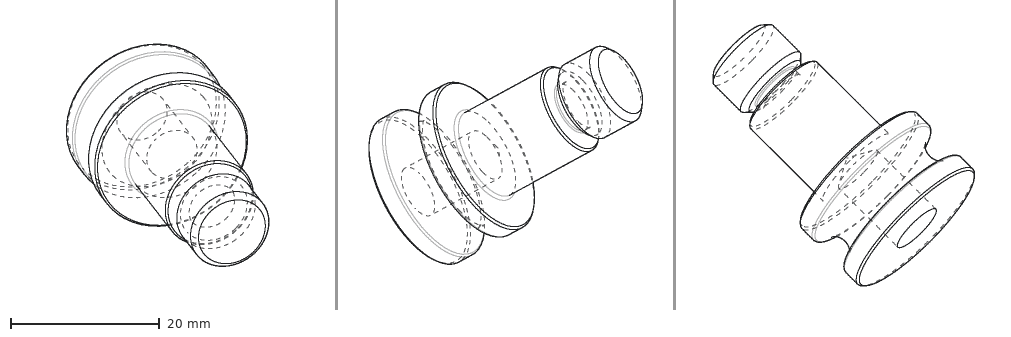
import cadquery as cq
import math

total_length = 34.8
flange_width = 11.55
shank_end = 26.35
head_start = 27.8

flange_radius = 21.95 / 2
shank_radius = 6.35
neck_radius = 3.48
head_radius = 5.65

edge_chamfer = 0.3
head_chamfer = 0.85
shank_root_fillet = 0.42
neck_fillet = 0.2

groove_radius = 2.9
groove_edge_fillet = 0.3

hole_radius = 3.62
hole_depth = 11.55
drill_point_angle = 118.0


def cylinder(start, end, radius):
    """Cylinder about the X axis between two axial positions."""
    return cq.Workplane("YZ", origin=(start, 0, 0)).circle(radius).extrude(end - start)


def make_flange():
    """Flange with chamfered outer edges and a round groove with rounded lips."""
    flange = cylinder(0, flange_width, flange_radius).edges().chamfer(edge_chamfer)
    middle = flange_width / 2
    lip_centre_distance = groove_radius + groove_edge_fillet
    lip_angle = math.asin(groove_edge_fillet / lip_centre_distance)
    lip_offset = lip_centre_distance * math.cos(lip_angle)
    lip_centre_radius = flange_radius - groove_edge_fillet
    wall_offset = groove_radius * math.cos(lip_angle)
    wall_radius = flange_radius - groove_radius * math.sin(lip_angle)
    mid_angle = (math.pi / 2 + lip_angle) / 2
    lip_mid_offset = lip_offset - groove_edge_fillet * math.sin(mid_angle)
    lip_mid_radius = lip_centre_radius + groove_edge_fillet * math.cos(mid_angle)
    groove = (
        cq.Workplane("XY")
        .moveTo(middle - lip_offset, flange_radius)
        .threePointArc((middle - lip_mid_offset, lip_mid_radius), (middle - wall_offset, wall_radius))
        .threePointArc((middle, flange_radius - groove_radius), (middle + wall_offset, wall_radius))
        .threePointArc((middle + lip_mid_offset, lip_mid_radius), (middle + lip_offset, flange_radius))
        .close()
        .revolve(360, (0, 0, 0), (1, 0, 0))
    )
    return flange.cut(groove)


def root_fillet(face_position, direction, radius, fillet):
    """Concave ring joining a shaft to a shoulder; direction points away from the shoulder."""
    tip = face_position + direction * fillet
    inset = fillet * (1 - math.sqrt(0.5))
    return (
        cq.Workplane("XY")
        .moveTo(face_position, 0)
        .lineTo(face_position, radius + fillet)
        .threePointArc((face_position + direction * inset, radius + inset), (tip, radius))
        .lineTo(tip, 0)
        .close()
        .revolve(360, (0, 0, 0), (1, 0, 0))
    )


def make_hole():
    """Drilled hole with a conical bottom."""
    point_length = hole_radius / math.tan(math.radians(drill_point_angle / 2))
    return (
        cq.Workplane("XY")
        .polyline([(0, 0), (0, hole_radius), (hole_depth, hole_radius), (hole_depth + point_length, 0)])
        .close()
        .revolve(360, (0, 0, 0), (1, 0, 0))
    )


shank = cylinder(flange_width, shank_end, shank_radius).faces(">X").chamfer(edge_chamfer)
neck = cylinder(shank_end, head_start, neck_radius)
head = cylinder(head_start, total_length, head_radius).edges().chamfer(head_chamfer)

result = (
    make_flange()
    .union(shank)
    .union(neck)
    .union(head)
    .union(root_fillet(flange_width, 1, shank_radius, shank_root_fillet))
    .union(root_fillet(shank_end, 1, neck_radius, neck_fillet))
    .union(root_fillet(head_start, -1, neck_radius, neck_fillet))
    .cut(make_hole())
)